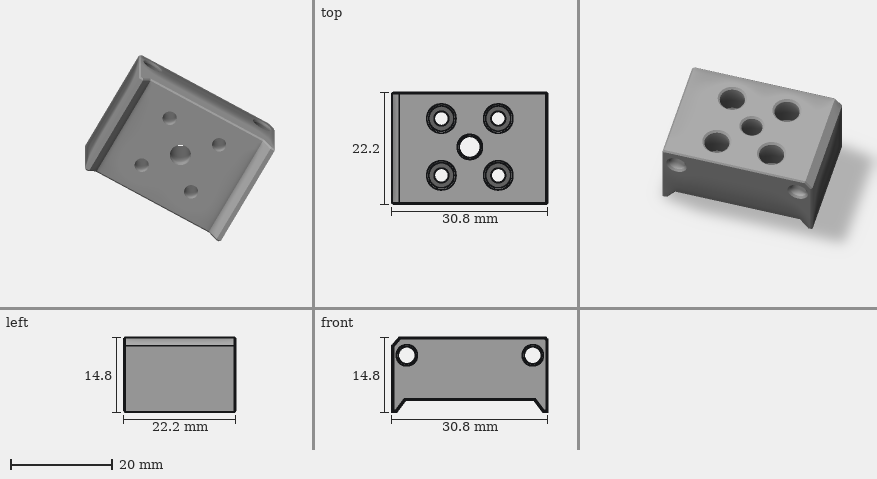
import cadquery as cq

LENGTH = 30.8
WIDTH = 22.18
HEIGHT = 14.75

FACE_CHAMFER = 0.3
TOP_EDGE_CHAMFER = 0.4
HOLE_CHAMFER = 0.4

BEVEL_LENGTH = 1.45
BEVEL_HEIGHT = 1.65

FOOT_WIDTH = 0.92
RECESS_HEIGHT = 2.3
RECESS_SLOPE_LENGTH = 1.72

CROSS_HOLE_DIAMETER = 3.4
CROSS_HOLE_SPACING = 24.92
CROSS_HOLE_DEPTH_FROM_TOP = 3.55

PATTERN_SPACING = 11.25
PATTERN_OFFSET_Y = 0.25
CENTER_HOLE_DIAMETER = 4.2
SCREW_HOLE_DIAMETER = 2.8
COUNTERBORE_DIAMETER = 5.0
COUNTERBORE_DEPTH = 6.15


def make_block():
    """Extrude the XZ profile along Y and chamfer the outlines of both end faces."""
    end = LENGTH / 2
    foot = end - FOOT_WIDTH
    recess = foot - RECESS_SLOPE_LENGTH
    profile = [
        (-end, 0),
        (-foot, 0),
        (-recess, RECESS_HEIGHT),
        (recess, RECESS_HEIGHT),
        (foot, 0),
        (end, 0),
        (end, HEIGHT - TOP_EDGE_CHAMFER),
        (end - TOP_EDGE_CHAMFER, HEIGHT),
        (-end + BEVEL_LENGTH, HEIGHT),
        (-end, HEIGHT - BEVEL_HEIGHT),
    ]
    block = cq.Workplane("XZ").polyline(profile).close().extrude(WIDTH / 2, both=True)
    return block.faces("<Y or >Y").chamfer(FACE_CHAMFER)


def entry_cone(diameter):
    """Conical cutter for a chamfered hole mouth, opening at Z = 0 and narrowing downwards."""
    rim = cq.Workplane("XY").circle(diameter / 2 + HOLE_CHAMFER)
    return rim.workplane(offset=-HOLE_CHAMFER).circle(diameter / 2).loft(ruled=True)


def drill(diameter, depth):
    """Cutter for a hole with a chamfered mouth, starting at Z = 0 and going down."""
    shaft = cq.Workplane("XY").circle(diameter / 2).extrude(-depth)
    return shaft.union(entry_cone(diameter))


def cross_drill():
    """Cutter along Y through the whole width, chamfered at both mouths."""
    half = drill(CROSS_HOLE_DIAMETER, WIDTH / 2).translate((0, 0, WIDTH / 2))
    both = half.union(half.mirror("XY"))
    return both.rotate((0, 0, 0), (1, 0, 0), 90)


def counterbore_drill():
    """Cutter for a through hole with a chamfered counterbore at the top."""
    through = cq.Workplane("XY").circle(SCREW_HOLE_DIAMETER / 2).extrude(-HEIGHT)
    return through.union(drill(COUNTERBORE_DIAMETER, COUNTERBORE_DEPTH))


result = make_block()

cross_hole_z = HEIGHT - CROSS_HOLE_DEPTH_FROM_TOP
for side in (-1, 1):
    result = result.cut(cross_drill().translate((side * CROSS_HOLE_SPACING / 2, 0, cross_hole_z)))

result = result.cut(drill(CENTER_HOLE_DIAMETER, HEIGHT).translate((0, PATTERN_OFFSET_Y, HEIGHT)))

for side_x in (-1, 1):
    for side_y in (-1, 1):
        x = side_x * PATTERN_SPACING / 2
        y = side_y * PATTERN_SPACING / 2 + PATTERN_OFFSET_Y
        result = result.cut(counterbore_drill().translate((x, y, HEIGHT)))